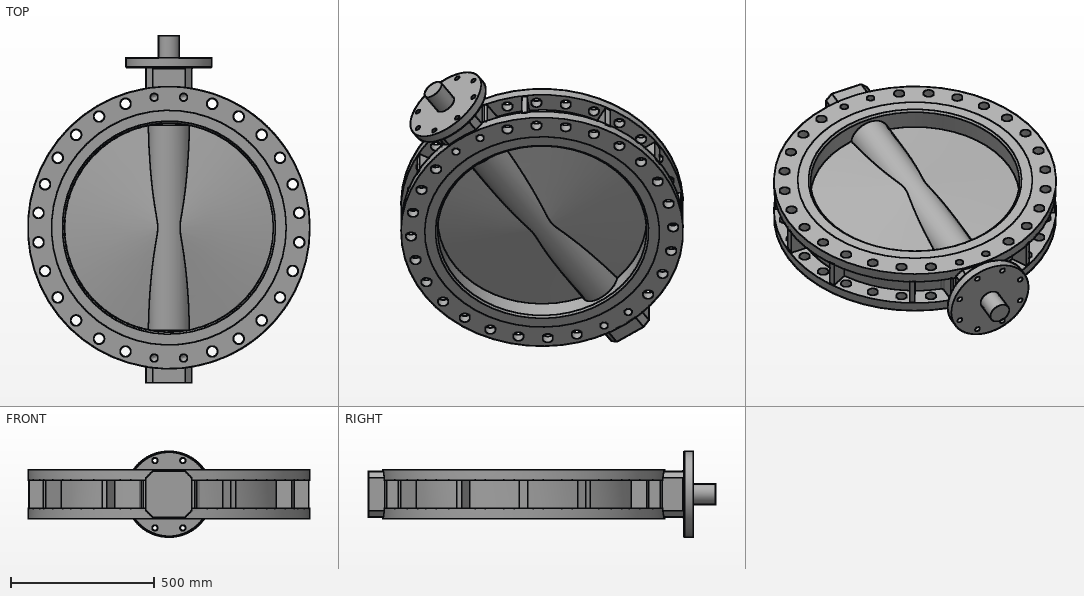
import cadquery as cq
import math

body_radius = 985.0 / 2
body_height = 172.0
rim_thickness = 36.0
drum_radius = 427.0
liner_radius = 409.0
bore_radius = 365.0
bore_chamfer = 7.0

bolt_count = 28
bolt_circle_radius = 458.0
bolt_hole_diameter = 36.0
tapped_hole_diameter = 27.0
tapped_hole_depth = 36.0
drill_point_angle = 118

rib_outer_radius = 488.0
side_rib_thickness = 29.0
rib_thickness = 18.0
rib_angle = 27.4

boss_width = 194.0
boss_reach = 485.0
boss_corner_chamfer = 7.0
boss_root_fillet = 10.0
neck_width = 160.0
neck_chamfer = 23.0
neck_bottom = -541.0

flange_radius = 150.0
flange_thickness = 34.0
flange_edge_chamfer = 4.0
flange_top = 592.0
neck_flare = 4.0
flange_bolt_count = 8
flange_bolt_circle_radius = 127.0
flange_bolt_diameter = 18.0

shaft_radius = 36.0
shaft_top = 670.0
shaft_gap_half_length = 182.0
hub_radius = 73.0
hub_half_length = 357.0
waist_half_width = 39.0
disc_edge_half_thickness = 10.0

half_height = body_height / 2
gap_height = body_height - 2 * rim_thickness
gap_bottom = -gap_height / 2
flange_bottom = flange_top - flange_thickness
stub_bottom = -boss_reach
tapped_point_depth = tapped_hole_diameter / 2 / math.tan(math.radians(drill_point_angle / 2))


def cylinder(radius, bottom, height):
    """Cylinder about the bore axis."""
    return cq.Workplane("XY", origin=(0, 0, bottom)).circle(radius).extrude(height)


def cylinder_along_y(radius, start, end):
    """Cylinder about the shaft axis, from y = start to y = end."""
    return cq.Workplane("XZ", origin=(0, start, 0)).circle(radius).extrude(start - end)


def make_neck():
    """Square bar with chamfered corners along the shaft axis; its flats flare out below the flange."""
    bar = cq.Workplane("XZ", origin=(0, neck_bottom, 0)).rect(neck_width, neck_width)
    bar = bar.extrude(neck_bottom - flange_bottom)
    flared_width = neck_width + 2 * neck_flare
    flare = cq.Workplane("XZ", origin=(0, flange_bottom, 0)).rect(flared_width, flared_width)
    flare = flare.extrude(neck_flare, taper=45)

    corner_width = math.sqrt(2) * (neck_width - neck_chamfer)
    corners = cq.Workplane("XZ", origin=(0, neck_bottom, 0)).rect(corner_width, corner_width)
    corners = corners.extrude(neck_bottom - flange_bottom)
    corners = corners.rotate((0, 0, 0), (0, 1, 0), 45)
    return bar.union(flare).intersect(corners)


def make_mounting_flange():
    """Round actuator flange, chamfered on the neck side."""
    plate = cylinder_along_y(flange_radius, flange_bottom, flange_top)
    plate = plate.faces("<Y").edges().chamfer(flange_edge_chamfer)
    holes = (
        cq.Workplane("XZ", origin=(0, flange_bottom, 0))
        .polarArray(flange_bolt_circle_radius, 180 / flange_bolt_count, 360, flange_bolt_count)
        .circle(flange_bolt_diameter / 2)
        .extrude(-flange_thickness)
    )
    return plate.cut(holes)


def bolt_points(tapped):
    """Places on the bolt circle: the four beside the shaft are tapped, the others are clear holes."""
    pitch = 360 / bolt_count
    points = []
    for index in range(bolt_count):
        angle = math.radians((index + 0.5) * pitch)
        x = bolt_circle_radius * math.cos(angle)
        y = bolt_circle_radius * math.sin(angle)
        if (abs(x) < neck_width / 2) == tapped:
            points.append((x, y))
    return points


def rib(angle, thickness):
    """Radial rib from the drum to the rim edge."""
    inner_radius = (liner_radius + drum_radius) / 2
    length = rib_outer_radius - inner_radius
    middle = inner_radius + length / 2
    bar = cq.Workplane("XY").box(length, thickness, gap_height).translate((middle, 0, 0))
    return bar.rotate((0, 0, 0), (0, 0, 1), angle)


def boss():
    """Shaft boss at both ends, with chamfered outer corners."""
    block = cq.Workplane("XY").box(boss_width, 2 * boss_reach, gap_height)
    return block.edges("|Z").chamfer(boss_corner_chamfer)


def tapped_hole_cutters():
    """Blind holes with a drill point, in both pipe faces."""
    radius = tapped_hole_diameter / 2
    profile = [
        (0, half_height),
        (radius, half_height),
        (radius, half_height - tapped_hole_depth),
        (0, half_height - tapped_hole_depth - tapped_point_depth),
    ]
    drill = cq.Workplane("XZ").polyline(profile).close().revolve(360, (0, 0, 0), (0, 1, 0))
    upper = cq.Workplane("XY").pushPoints(bolt_points(tapped=True)).eachpoint(drill.val(), combine=False)
    return upper.add(upper.mirror("XY")).combine()


def make_drive_shaft():
    """Upper shaft, from inside the disc hub out through the mounting flange."""
    return cylinder_along_y(shaft_radius, shaft_gap_half_length, shaft_top)


def make_stub_shaft():
    """Lower shaft, from the blind bearing hole into the disc hub."""
    return cylinder_along_y(shaft_radius, stub_bottom, -shaft_gap_half_length)


def make_housing():
    """Drum with ribs and pipe rims, with shaft necks and the actuator flange in one casting."""
    core = cylinder(drum_radius, gap_bottom, gap_height).union(boss())
    root_y = math.sqrt(drum_radius**2 - (boss_width / 2) ** 2)
    root_x = boss_width / 2
    reach = boss_root_fillet
    roots = cq.selectors.BoxSelector(
        (-root_x - reach, -root_y - reach, gap_bottom), (root_x + reach, root_y + reach, -gap_bottom)
    )
    core = core.edges("|Z").edges(roots).fillet(boss_root_fillet)

    for side in (0, 180):
        core = core.union(rib(side, side_rib_thickness))
        for angle in (rib_angle, 90 - rib_angle):
            core = core.union(rib(side + angle, rib_thickness))
            core = core.union(rib(side - angle, rib_thickness))

    body = core.union(cylinder(body_radius, -half_height, rim_thickness))
    body = body.union(cylinder(body_radius, half_height - rim_thickness, rim_thickness))
    body = body.union(make_neck()).union(make_mounting_flange())

    clear_holes = (
        cq.Workplane("XY", origin=(0, 0, -half_height))
        .pushPoints(bolt_points(tapped=False))
        .circle(bolt_hole_diameter / 2)
        .extrude(body_height)
    )
    body = body.cut(cylinder(liner_radius, -half_height, body_height))
    body = body.cut(make_drive_shaft()).cut(make_stub_shaft())
    return body.cut(clear_holes).cut(tapped_hole_cutters())


def make_liner():
    """Seat ring inside the housing, with both bore edges chamfered."""
    ring = cylinder(liner_radius, -half_height, body_height)
    ring = ring.cut(cylinder(bore_radius, -half_height, body_height))
    ring = ring.edges(cq.selectors.RadiusNthSelector(0)).edges("%CIRCLE").chamfer(bore_chamfer)
    return ring.cut(make_drive_shaft()).cut(make_stub_shaft())


def make_disc():
    """Closing disc, conical on both sides, with a hub along the shaft."""
    waist_height = math.sqrt(hub_radius**2 - waist_half_width**2)
    slope = (waist_height - disc_edge_half_thickness) / (bore_radius - waist_half_width)
    apex = disc_edge_half_thickness + slope * bore_radius
    profile = [
        (0, -apex),
        (bore_radius, -disc_edge_half_thickness),
        (bore_radius, disc_edge_half_thickness),
        (0, apex),
    ]
    disc = cq.Workplane("XZ").polyline(profile).close().revolve(360, (0, 0, 0), (0, 1, 0))
    disc = disc.union(cylinder_along_y(hub_radius, -hub_half_length, hub_half_length))
    disc = disc.intersect(cylinder(bore_radius, -half_height, body_height))
    return disc.cut(make_drive_shaft()).cut(make_stub_shaft())


housing = make_housing()
liner = make_liner()
disc = make_disc()
drive_shaft = make_drive_shaft()
stub_shaft = make_stub_shaft()

result = cq.Compound.makeCompound(
    [housing.val(), liner.val(), disc.val(), drive_shaft.val(), stub_shaft.val()]
)